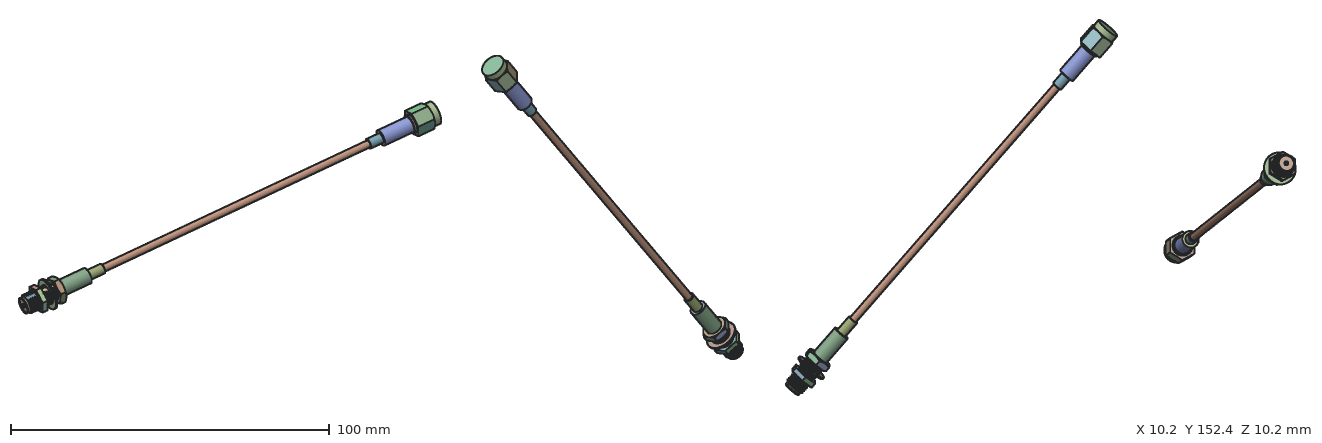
import cadquery as cq
import math

TOTAL_LENGTH = 152.4

CABLE_DIAMETER = 2.5
BOOT_DIAMETER = 3.4
SLEEVE_DIAMETER = 5.3

HEX_ACROSS_FLATS = 8.0
HEX_CORNER_DIAMETER = HEX_ACROSS_FLATS / math.cos(math.pi / 6)
HEX_CHAMFER_DIAMETER = HEX_ACROSS_FLATS
HEX_CHAMFER_ANGLE = 30.0
HEX_CORNER_CUT = (HEX_CORNER_DIAMETER - HEX_CHAMFER_DIAMETER) / 2
HEX_CHAMFER_DROP = HEX_CORNER_CUT * math.tan(math.radians(HEX_CHAMFER_ANGLE))

THREAD_DIAMETER = 6.4
THREAD_ROOT_DIAMETER = 5.6
THREAD_PITCH = 0.7
THREAD_FLAT_HEIGHT = 2.7
LEAD_DIAMETER = 5.3
LEAD_LENGTH = 1.0
PANEL_NUT_START = 4.7
PANEL_NUT_LENGTH = 1.8
PANEL_NUT_END = PANEL_NUT_START + PANEL_NUT_LENGTH
NUT_RECESS_DIAMETER = 7.0
NUT_RECESS_DEPTH = 0.3
FLANGE_START = 11.3
FLANGE_LENGTH = 2.3
FLANGE_END = FLANGE_START + FLANGE_LENGTH
JACK_SLEEVE_END = 23.8
JACK_BOOT_END = 29.4
JACK_BORE_DIAMETER = 4.9
JACK_BORE_DEPTH = 0.3
CONTACT_DIAMETER = 1.26
SOCKET_DIAMETER = 0.9
SOCKET_DEPTH = 3.0

PLUG_RING_DIAMETER = 7.8
PLUG_RING_LENGTH = 2.3
PLUG_HEX_LENGTH = 6.2
PLUG_COLLAR_DIAMETER = 6.4
PLUG_COLLAR_LENGTH = 0.8
PLUG_SLEEVE_LENGTH = 10.7
PLUG_BOOT_LENGTH = 4.5
PLUG_HEX_END = TOTAL_LENGTH - PLUG_RING_LENGTH
PLUG_HEX_START = PLUG_HEX_END - PLUG_HEX_LENGTH
PLUG_COLLAR_START = PLUG_HEX_START - PLUG_COLLAR_LENGTH
PLUG_SLEEVE_START = PLUG_COLLAR_START - PLUG_SLEEVE_LENGTH
PLUG_BOOT_START = PLUG_SLEEVE_START - PLUG_BOOT_LENGTH

WASHER_DIAMETER = 10.2
WASHER_HOLE_DIAMETER = 6.5
WASHER_THICKNESS = 0.6
WASHER_START = 8.8


def section(start):
    """Workplane across the axis at Y = start, extruding toward +Y, with local Y along +Z."""
    return cq.Workplane(cq.Plane(origin=(0, start, 0), xDir=(-1, 0, 0), normal=(0, 1, 0)))


def cylinder(diameter, start, end):
    return section(start).circle(diameter / 2).extrude(end - start)


def hexagon(start, end):
    return section(start).transformed(rotate=(0, 0, 90)).polygon(6, HEX_CORNER_DIAMETER).extrude(end - start)


def revolved(points):
    """Solid of revolution about Y from (radius, y) points."""
    return cq.Workplane("XY").polyline(points).close().revolve(360, (0, 0, 0), (0, 1, 0))


def corner_chamfer_envelope(start, end, start_drop, end_drop):
    """Round envelope of a hexagon, coned at each end over the given axial drop."""
    face_radius = HEX_CHAMFER_DIAMETER / 2
    corner_radius = HEX_CORNER_DIAMETER / 2
    points = [
        (0, start),
        (face_radius, start),
        (corner_radius, start + start_drop),
        (corner_radius, end - end_drop),
        (face_radius, end),
        (0, end),
    ]
    return revolved(points)


def threaded_barrel():
    """Ring-grooved thread with a flat along its +Z side."""
    crest = THREAD_DIAMETER / 2
    root = THREAD_ROOT_DIAMETER / 2
    points = [(0, LEAD_LENGTH), (root, LEAD_LENGTH)]
    turns = int((FLANGE_START - LEAD_LENGTH) / THREAD_PITCH)
    for turn in range(turns):
        start = LEAD_LENGTH + turn * THREAD_PITCH
        points.append((crest, start + THREAD_PITCH / 2))
        points.append((root, start + THREAD_PITCH))
    points.append((root, FLANGE_START))
    points.append((0, FLANGE_START))
    thread = revolved(points)
    barrel = thread.union(cylinder(LEAD_DIAMETER, 0, FLANGE_START))
    flat = (
        cq.Workplane("XY")
        .workplane(offset=THREAD_FLAT_HEIGHT)
        .rect(THREAD_DIAMETER, 2 * FLANGE_START)
        .extrude(THREAD_DIAMETER)
    )
    return barrel.cut(flat)


def jack():
    body = threaded_barrel().union(hexagon(PANEL_NUT_START, PANEL_NUT_END))
    recess = section(PANEL_NUT_START).circle(NUT_RECESS_DIAMETER / 2).circle(THREAD_DIAMETER / 2)
    body = body.cut(recess.extrude(NUT_RECESS_DEPTH))

    envelope = corner_chamfer_envelope(FLANGE_START, FLANGE_END, HEX_CHAMFER_DROP, HEX_CHAMFER_DROP)
    body = body.union(hexagon(FLANGE_START, FLANGE_END).intersect(envelope))
    body = body.union(cylinder(SLEEVE_DIAMETER, FLANGE_END, JACK_SLEEVE_END))
    body = body.union(cylinder(BOOT_DIAMETER, JACK_SLEEVE_END, JACK_BOOT_END))

    body = body.cut(cylinder(JACK_BORE_DIAMETER, 0, JACK_BORE_DEPTH))
    body = body.union(cylinder(CONTACT_DIAMETER, 0, JACK_BORE_DEPTH))
    return body.cut(cylinder(SOCKET_DIAMETER, 0, SOCKET_DEPTH))


def plug():
    body = cylinder(BOOT_DIAMETER, PLUG_BOOT_START, PLUG_SLEEVE_START)
    body = body.union(cylinder(SLEEVE_DIAMETER, PLUG_SLEEVE_START, PLUG_COLLAR_START))
    body = body.union(cylinder(PLUG_COLLAR_DIAMETER, PLUG_COLLAR_START, PLUG_HEX_START))
    envelope = corner_chamfer_envelope(PLUG_HEX_START, PLUG_HEX_END, 0, HEX_CHAMFER_DROP)
    body = body.union(hexagon(PLUG_HEX_START, PLUG_HEX_END).intersect(envelope))
    return body.union(cylinder(PLUG_RING_DIAMETER, PLUG_HEX_END, TOTAL_LENGTH))


def cable_assembly():
    cable = cylinder(CABLE_DIAMETER, JACK_BOOT_END, PLUG_BOOT_START)
    return jack().union(cable).union(plug())


def lock_washer():
    washer = section(WASHER_START).circle(WASHER_DIAMETER / 2).circle(WASHER_HOLE_DIAMETER / 2)
    return washer.extrude(WASHER_THICKNESS)


result = cq.Compound.makeCompound([cable_assembly().val(), lock_washer().val()])